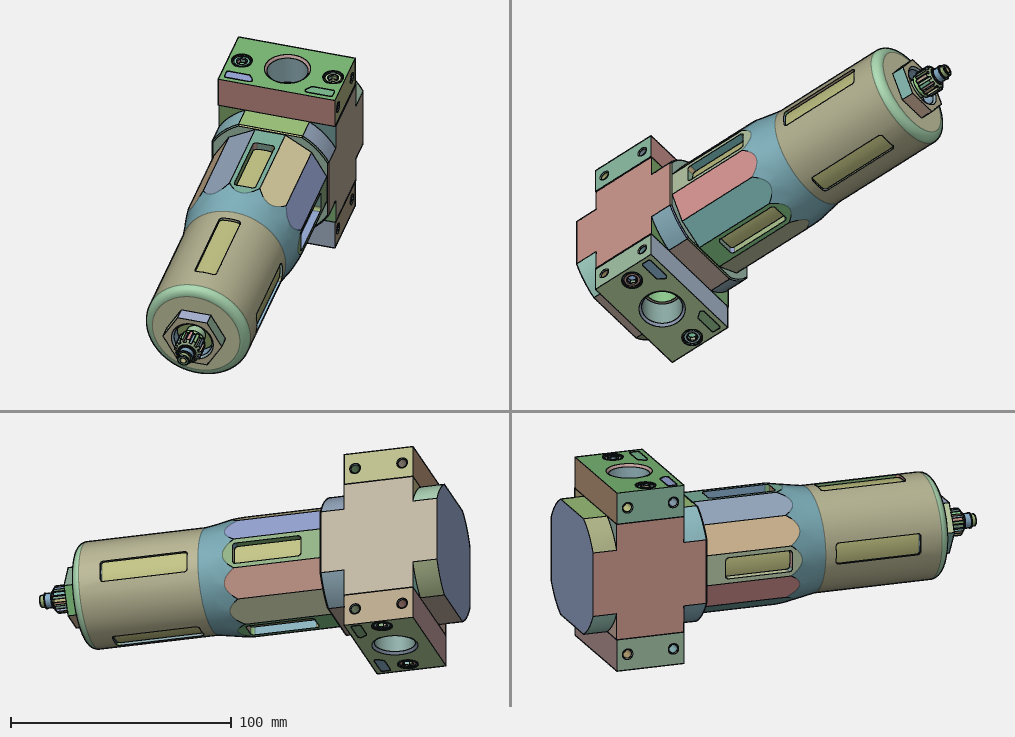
import cadquery as cq
import math


TOTAL_LENGTH = 194.2
BODY_SIZE = 55.2
BODY_ROUND_RADIUS = 31.5
BODY_EDGE_CHAMFER = 0.5
PORT_BORE_DIAMETER = 16.3
BODY_HALF = BODY_SIZE / 2
BODY_FRONT_Y = -BODY_HALF

TOTAL_HEIGHT = 85.0
PLATE_LENGTH = 32.5
PLATE_SHIFT_X = -0.4
PLATE_HEIGHT = TOTAL_HEIGHT / 2 - BODY_HALF
PORT_DIAMETER = 18.6
PORT_MOUTH_DIAMETER = 21.0
SIDE_HOLE_SPACING = 22.1
SIDE_HOLE_Z = 35
SIDE_HOLE_DIAMETER = 4.0
SIDE_HOLE_MOUTH_DIAMETER = 5.0
SIDE_HOLE_DEPTH = 7.8
DRILL_POINT_ANGLE = 118

LABEL_LENGTH = 13.4
LABEL_WIDTH = 4.7
LABEL_CENTRE_X = 18.8
LABEL_CENTRE_Y = -11.5
LABEL_SLOPE_X = 2.5
LABEL_CORNER_RADIUS = 1.0
LABEL_DEPTH = 0.2

SCREW_X = 21.5
SCREW_HEAD_DIAMETER = 8.5
SCREW_HEAD_HEIGHT = 4.9
SCREW_HEAD_CHAMFER = 0.5
SCREW_HEAD_RECESS = 0.4
SCREW_RECESS_DIAMETER = 9.0
SCREW_RECESS_MOUTH_DIAMETER = 9.5
SCREW_SHANK_DIAMETER = 5.0
SCREW_LENGTH = 23.3
SCREW_SOCKET_ACROSS_FLATS = 4.0
SCREW_SOCKET_MOUTH_DIAMETER = 5.0
SCREW_SOCKET_DEPTH = 2.3

GRIP_SIDES = 12
GRIP_ACROSS_FLATS = 53.5
GRIP_CORNER_RADIUS = GRIP_ACROSS_FLATS / 2 / math.cos(math.pi / GRIP_SIDES)
CONE_START_Y = -68.4
BARREL_START_Y = -85.8
BARREL_DIAMETER = 49.1
BARREL_RADIUS = BARREL_DIAMETER / 2
BARREL_END_Y = -145.8
BARREL_END_FILLET = 3.9
HEX_ACROSS_FLATS = 24.0
HEX_HEIGHT = 6.0
HEX_END_Y = BARREL_END_Y - HEX_HEIGHT
DRAIN_RECESS_DIAMETER = 17.9
DRAIN_RECESS_MOUTH_DIAMETER = 19.8

WINDOW_WIDTH = 10.1
WINDOW_CORNER_RADIUS = 1.5
GRIP_WINDOW_START_Y = -36.7
GRIP_WINDOW_END_Y = -69.0
BARREL_WINDOW_START_Y = -90.9
BARREL_WINDOW_END_Y = -131.9

BOWL_RADIUS = 23.3
BOWL_ROUND_START_Y = -131.3
BOWL_END_FILLET = 9.7

KNOB_END_Y = BODY_HALF - TOTAL_LENGTH
KNOB_STEM_DIAMETER = 9.0
KNOB_COLLAR_DIAMETER = 11.3
KNOB_COLLAR_START_Y = -151.0
KNOB_ROOT_DIAMETER = 10.3
KNOB_TOOTH_DIAMETER = 12.6
KNOB_TOOTH_COUNT = 12
KNOB_TOOTH_WIDTH = 1.5
KNOB_TOOTH_START_Y = -152.8
KNOB_TAPER_START_Y = -158.9
KNOB_TAPER_END_Y = -160.5
KNOB_TAPER_DIAMETER = 8.5
SPOUT_RING_DIAMETER = 7.4
SPOUT_RING_WIDTH = 0.5
SPOUT_DIAMETER = 6.8
SPOUT_LIP_DIAMETER = 7.2
SPOUT_LIP_START_Y = -164.0
SPOUT_LIP_WIDTH = 0.4
SPOUT_TIP_DIAMETER = 5.6
SPOUT_TIP_CHAMFER = 0.4
SPOUT_HOLE_DIAMETER = 3.0
SPOUT_HOLE_DEPTH = 5.8


def cylinder_y(diameter, start_y, end_y):
    """Cylinder on the filter axis that runs from start_y toward -Y."""
    return (
        cq.Workplane("XZ", origin=(0, start_y, 0))
        .circle(diameter / 2)
        .extrude(start_y - end_y)
    )


def prism_y(sides, corner_radius, first_corner_angle, start_y, end_y):
    """Regular prism on the filter axis that runs from start_y toward -Y."""
    return (
        cq.Workplane("XZ", origin=(0, start_y, 0))
        .transformed(rotate=(0, 0, first_corner_angle))
        .polygon(sides, 2 * corner_radius)
        .extrude(start_y - end_y)
    )


def revolved_y(profile):
    """Turn an outline of (radius, y) points about the filter axis."""
    return cq.Workplane("XY").polyline(profile).close().revolve(360, (0, 0), (0, 1))


def countersink(diameter, mouth_diameter):
    """Cutter for a 45-degree hole mouth at the origin, with the hole going down -Z."""
    depth = (mouth_diameter - diameter) / 2
    return cq.Workplane(cq.Solid.makeCone(diameter / 2, mouth_diameter / 2, depth)).translate((0, 0, -depth))


def make_body():
    body = cylinder_y(2 * BODY_ROUND_RADIUS, BODY_HALF, BODY_FRONT_Y)
    body = body.intersect(cq.Workplane("XY").box(BODY_SIZE, BODY_SIZE, BODY_SIZE))
    body = body.faces("<Y").chamfer(BODY_EDGE_CHAMFER)
    body = body.union(cq.Workplane("XY").box(BODY_SIZE, PLATE_LENGTH, BODY_SIZE))
    bore = cq.Workplane("XY").circle(PORT_BORE_DIAMETER / 2).extrude(BODY_HALF, both=True)
    return body.cut(bore)


def make_side_hole():
    """Cutter for a blind hole with a drill point, mouth at the origin, going down -Z."""
    radius = SIDE_HOLE_DIAMETER / 2
    point_height = radius / math.tan(math.radians(DRILL_POINT_ANGLE / 2))
    straight = cq.Workplane("XY").circle(radius).extrude(-SIDE_HOLE_DEPTH)
    point = cq.Workplane(cq.Solid.makeCone(0, radius, point_height))
    point = point.translate((0, 0, -SIDE_HOLE_DEPTH - point_height))
    return straight.union(point).union(countersink(SIDE_HOLE_DIAMETER, SIDE_HOLE_MOUTH_DIAMETER))


def make_label_recess(side):
    """Cutter for a label recess at the +X (side = 1) or -X (side = -1) end of a plate."""
    outer_x = LABEL_LENGTH / 2
    half_width = LABEL_WIDTH / 2
    outline = [
        (side * outer_x, -half_width),
        (side * outer_x, half_width),
        (side * (LABEL_SLOPE_X - outer_x), half_width),
        (side * -outer_x, -half_width / 2),
        (side * (LABEL_SLOPE_X / 2 - outer_x), -half_width),
    ]
    recess = cq.Workplane("XY").polyline(outline).close().extrude(-LABEL_DEPTH)
    recess = recess.edges("|Z").fillet(LABEL_CORNER_RADIUS)
    return recess.translate((side * LABEL_CENTRE_X + PLATE_SHIFT_X, LABEL_CENTRE_Y, TOTAL_HEIGHT / 2))


def make_screw_blank(head_diameter, top_z):
    """Head and shank of a screw at X = Y = 0, used for the screw and for its hole."""
    head_bottom_z = TOTAL_HEIGHT / 2 - SCREW_HEAD_RECESS - SCREW_HEAD_HEIGHT
    head = cq.Workplane("XY", origin=(0, 0, head_bottom_z)).circle(head_diameter / 2)
    head = head.extrude(top_z - head_bottom_z)
    shank = cq.Workplane("XY", origin=(0, 0, head_bottom_z)).circle(SCREW_SHANK_DIAMETER / 2)
    return head.union(shank.extrude(SCREW_HEAD_HEIGHT - SCREW_LENGTH))


def make_top_screw(x):
    top_z = TOTAL_HEIGHT / 2 - SCREW_HEAD_RECESS
    screw = make_screw_blank(SCREW_HEAD_DIAMETER, top_z).faces(">Z").chamfer(SCREW_HEAD_CHAMFER)
    socket_corners = SCREW_SOCKET_ACROSS_FLATS / math.cos(math.pi / 6)
    socket = cq.Workplane("XY", origin=(0, 0, top_z)).polygon(6, socket_corners).extrude(-SCREW_SOCKET_DEPTH)
    point = cq.Workplane(cq.Solid.makeCone(0, SCREW_SOCKET_ACROSS_FLATS / 2, SCREW_SOCKET_ACROSS_FLATS / 4))
    point = point.translate((0, 0, top_z - SCREW_SOCKET_DEPTH - SCREW_SOCKET_ACROSS_FLATS / 4))
    socket_mouth = countersink(SCREW_SOCKET_ACROSS_FLATS, SCREW_SOCKET_MOUTH_DIAMETER).translate((0, 0, top_z))
    return screw.cut(socket).cut(point).cut(socket_mouth).translate((x, 0, 0))


def screw_hole(x):
    hole = make_screw_blank(SCREW_RECESS_DIAMETER, TOTAL_HEIGHT / 2)
    mouth = countersink(SCREW_RECESS_DIAMETER, SCREW_RECESS_MOUTH_DIAMETER)
    return hole.union(mouth.translate((0, 0, TOTAL_HEIGHT / 2))).translate((x, 0, 0))


def make_top_plate():
    plate = (
        cq.Workplane("XY", origin=(PLATE_SHIFT_X, 0, BODY_HALF))
        .rect(BODY_SIZE, PLATE_LENGTH)
        .extrude(PLATE_HEIGHT)
    )
    port = cq.Workplane("XY", origin=(0, 0, BODY_HALF)).circle(PORT_DIAMETER / 2).extrude(PLATE_HEIGHT)
    mouth = countersink(PORT_DIAMETER, PORT_MOUTH_DIAMETER).translate((0, 0, TOTAL_HEIGHT / 2))
    plate = plate.cut(port).cut(mouth)
    for side in (-1, 1):
        plate = plate.cut(screw_hole(side * SCREW_X)).cut(make_label_recess(side))
        side_hole = make_side_hole().rotate((0, 0, 0), (0, 1, 0), side * 90)
        for y in (-SIDE_HOLE_SPACING / 2, SIDE_HOLE_SPACING / 2):
            plate = plate.cut(side_hole.translate((side * BODY_HALF + PLATE_SHIFT_X, y, SIDE_HOLE_Z)))
    return plate


def window_cutter(start_y, end_y, turn):
    """Rounded slot that opens outward from the filter axis, turned about Y from the top."""
    slot = (
        cq.Workplane("XY", origin=(0, (start_y + end_y) / 2, 0))
        .rect(WINDOW_WIDTH, start_y - end_y)
        .extrude(GRIP_ACROSS_FLATS)
        .edges("|Z")
        .fillet(WINDOW_CORNER_RADIUS)
    )
    return slot.rotate((0, 0, 0), (0, 1, 0), turn)


def make_bowl():
    bowl_end_y = BOWL_ROUND_START_Y - BOWL_END_FILLET
    bowl = cylinder_y(2 * BOWL_RADIUS, BODY_FRONT_Y, bowl_end_y).faces("<Y").edges().fillet(BOWL_END_FILLET)
    neck = cylinder_y(DRAIN_RECESS_DIAMETER, bowl_end_y, BARREL_END_Y)
    return bowl.union(neck)


def make_guard(bowl):
    grip_corner_angle = 180 / GRIP_SIDES
    grip = prism_y(GRIP_SIDES, GRIP_CORNER_RADIUS, grip_corner_angle, BODY_FRONT_Y, BARREL_END_Y)
    envelope = revolved_y(
        [
            (0, BODY_FRONT_Y),
            (GRIP_CORNER_RADIUS, BODY_FRONT_Y),
            (GRIP_CORNER_RADIUS, CONE_START_Y),
            (BARREL_RADIUS, BARREL_START_Y),
            (BARREL_RADIUS, BARREL_END_Y),
            (0, BARREL_END_Y),
        ]
    )
    envelope = envelope.faces("<Y").edges().fillet(BARREL_END_FILLET)
    guard = grip.intersect(envelope)

    hex_corner_radius = HEX_ACROSS_FLATS / 2 / math.cos(math.pi / 6)
    guard = guard.union(prism_y(6, hex_corner_radius, 0, BARREL_END_Y, HEX_END_Y))
    recess = cylinder_y(DRAIN_RECESS_DIAMETER, BARREL_END_Y, HEX_END_Y)
    recess_mouth = countersink(DRAIN_RECESS_DIAMETER, DRAIN_RECESS_MOUTH_DIAMETER)
    recess_mouth = recess_mouth.rotate((0, 0, 0), (1, 0, 0), 90).translate((0, HEX_END_Y, 0))
    guard = guard.cut(recess).cut(recess_mouth)

    for turn in (0, 90, 180, 270):
        guard = guard.cut(window_cutter(GRIP_WINDOW_START_Y, GRIP_WINDOW_END_Y, turn))
        guard = guard.cut(window_cutter(BARREL_WINDOW_START_Y, BARREL_WINDOW_END_Y, turn))
    return guard.cut(bowl)


def make_knob_grip():
    """Stem, collar and toothed head of the drain knob, tapered toward the spout."""
    envelope = revolved_y(
        [
            (0, KNOB_TOOTH_START_Y),
            (KNOB_TOOTH_DIAMETER / 2, KNOB_TOOTH_START_Y),
            (KNOB_TOOTH_DIAMETER / 2, KNOB_TAPER_START_Y),
            (KNOB_TAPER_DIAMETER / 2, KNOB_TAPER_END_Y),
            (0, KNOB_TAPER_END_Y),
        ]
    )
    head = cylinder_y(KNOB_ROOT_DIAMETER, KNOB_TOOTH_START_Y, KNOB_TAPER_END_Y)
    tooth_pair = (
        cq.Workplane("XZ", origin=(0, KNOB_TOOTH_START_Y, 0))
        .rect(KNOB_TOOTH_WIDTH, 2 * KNOB_TOOTH_DIAMETER)
        .extrude(KNOB_TOOTH_START_Y - KNOB_TAPER_END_Y)
    )
    for i in range(KNOB_TOOTH_COUNT // 2):
        head = head.union(tooth_pair.rotate((0, 0, 0), (0, 1, 0), i * 360 / KNOB_TOOTH_COUNT))
    stem = cylinder_y(KNOB_STEM_DIAMETER, BARREL_END_Y, KNOB_COLLAR_START_Y)
    collar = cylinder_y(KNOB_COLLAR_DIAMETER, KNOB_COLLAR_START_Y, KNOB_TOOTH_START_Y)
    return stem.union(collar).union(head.intersect(envelope))


def make_drain_knob():
    ring_end_y = KNOB_TAPER_END_Y - SPOUT_RING_WIDTH
    lip_end_y = SPOUT_LIP_START_Y - SPOUT_LIP_WIDTH
    spout = cylinder_y(SPOUT_RING_DIAMETER, KNOB_TAPER_END_Y, ring_end_y)
    spout = spout.union(cylinder_y(SPOUT_DIAMETER, ring_end_y, SPOUT_LIP_START_Y))
    spout = spout.union(cylinder_y(SPOUT_LIP_DIAMETER, SPOUT_LIP_START_Y, lip_end_y))
    tip = cylinder_y(SPOUT_TIP_DIAMETER, lip_end_y, KNOB_END_Y).faces("<Y").chamfer(SPOUT_TIP_CHAMFER)
    knob = make_knob_grip().union(spout).union(tip)

    hole = cylinder_y(SPOUT_HOLE_DIAMETER, KNOB_END_Y + SPOUT_HOLE_DEPTH, KNOB_END_Y)
    return knob.cut(hole)


top_plate = make_top_plate()
bottom_plate = top_plate.mirror("XY")

screws = []
for screw_x in (-SCREW_X, SCREW_X):
    top_screw = make_top_screw(screw_x)
    screws += [top_screw.val(), top_screw.mirror("XY").val()]

body = make_body()
for screw in screws:
    body = body.cut(cq.Workplane(screw))

bowl = make_bowl()
guard = make_guard(bowl)
drain_knob = make_drain_knob()

result = cq.Compound.makeCompound(
    [
        body.val(),
        top_plate.val(),
        bottom_plate.val(),
        *screws,
        bowl.val(),
        guard.val(),
        drain_knob.val(),
    ]
)